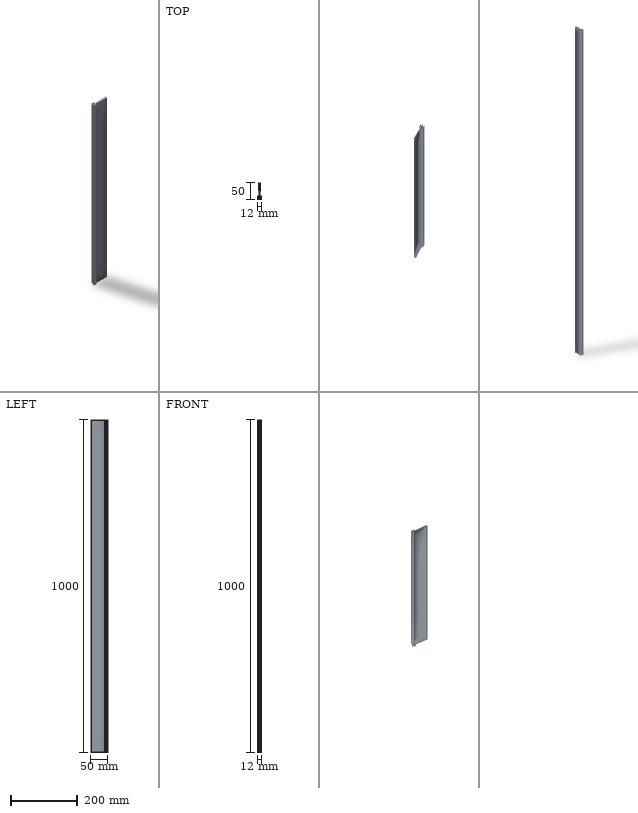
import cadquery as cq

length = 1000.0
total_depth = 50.03
holder_width = 12.0

holder_depth = 10.0
shoulder_radius = 1.0
wall_thickness = 1.0
channel_web = 2.0

nose_thickness = 3.6
nose_radius = 1.5
tip_thickness = 5.8

side_groove_width = 3.0
side_groove_depth = 0.3
side_groove_offset = 2.2

front_y = -total_depth / 2
tip_y = total_depth / 2
rear_y = front_y + holder_depth
bottom_z = -length / 2
channel_inner_x = nose_thickness / 2
channel_outer_x = holder_width / 2 - wall_thickness
channel_width = channel_outer_x - channel_inner_x
channel_radius = channel_width / 2
channel_floor_y = rear_y - channel_web
side_groove_y = front_y + side_groove_offset + side_groove_width / 2


def make_holder():
    """Rectangular bar with its two rear corners rounded."""
    bar = cq.Workplane("XY").box(holder_width, holder_depth, length)
    bar = bar.edges("|Z and >Y").fillet(shoulder_radius)
    return bar.translate((0, front_y + holder_depth / 2, 0))


def make_blade():
    """Blade flaring from the holder's rear face to its tip."""
    return (
        cq.Workplane("XY", origin=(0, 0, bottom_z))
        .moveTo(-nose_thickness / 2, rear_y)
        .lineTo(-tip_thickness / 2, tip_y)
        .lineTo(tip_thickness / 2, tip_y)
        .lineTo(nose_thickness / 2, rear_y)
        .close()
        .extrude(length)
    )


def make_channel(side):
    """Round-bottomed channel between the nose and one holder wall; side is -1 or +1."""
    arc_y = channel_floor_y - channel_radius
    middle_x = (channel_inner_x + channel_outer_x) / 2
    return (
        cq.Workplane("XY", origin=(0, 0, bottom_z))
        .moveTo(side * channel_inner_x, front_y)
        .lineTo(side * channel_inner_x, arc_y)
        .threePointArc((side * middle_x, channel_floor_y), (side * channel_outer_x, arc_y))
        .lineTo(side * channel_outer_x, front_y)
        .close()
        .extrude(length)
    )


def round_nose(body):
    """Round the two long front edges of the nose."""
    nose_zone = cq.selectors.BoxSelector(
        (-channel_inner_x - nose_radius / 2, front_y - nose_radius / 2, -length),
        (channel_inner_x + nose_radius / 2, front_y + nose_radius / 2, length),
    )
    return body.edges("|Z").edges(nose_zone).fillet(nose_radius)


def make_side_groove(side):
    """Shallow rectangular groove in one outer side of the holder; side is -1 or +1."""
    groove = cq.Workplane("XY").box(2 * side_groove_depth, side_groove_width, length)
    return groove.translate((side * holder_width / 2, side_groove_y, 0))


result = make_holder().union(make_blade())
for side in (-1, 1):
    result = result.cut(make_channel(side)).cut(make_side_groove(side))
result = round_nose(result)